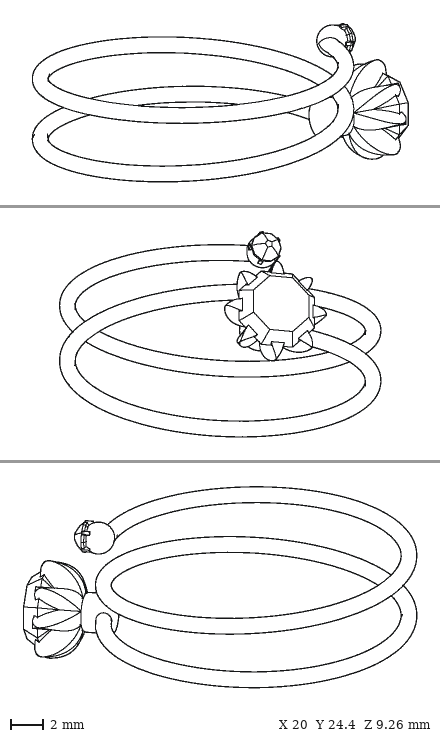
import cadquery as cq
import math


wire_diameter = 1.0
coil_radius = 9.5
coil_rise = 5.0
coil_turns = 2
quarter_count = 4 * coil_turns
rise_per_quarter = coil_rise / (quarter_count - 3)
sections_per_quarter = 6

post_diameter = 2.5
post_back = 8.9
post_front = 10.92
post_edge_fillet = 0.25

gem_sides = 8
table_across_flats = 3.56
girdle_across_flats = 4.86
table_height = coil_radius + wire_diameter / 2 + 4.4
girdle_height = 13.38
culet_height = 11.43

petal_count = 8
petal_root_width = 0.88
petal_reach = 3.24
petal_top = 13.62
petal_foot_radius = 1.2
petal_belly = (2.62, 11.67)
petal_widest_height = 13.0
petal_shoulder = (3.12, 13.45)
petal_crest_radius = 2.75
leaf_bulge = (2.0, 0.45)
leaf_taper = (2.6, 0.335)
leaf_tip_radius = petal_reach + 0.02

ball_radius = 1.0
ball_center = (0, coil_radius + wire_diameter / 2, coil_rise)

rose_fold = 5
rose_girdle_radius = 0.95
rose_girdle_bottom = 10.76
rose_girdle_top = 10.93
rose_top = 11.5
rose_table_radius = 0.24
rose_shoulder_radius = 0.68
rose_culet = 10.1

claw_outer_radius = 1.02
claw_depth = 0.3
claw_width = 0.22
claw_back = 10.4
claw_front = 10.9


def coil_height(quarters):
    """Height after a number of quarter turns: flat, easing in, even slope, easing out, flat."""
    if quarters > quarter_count / 2:
        return coil_rise - coil_height(quarter_count - quarters)
    if quarters <= 1:
        return 0.0
    if quarters <= 2:
        return rise_per_quarter * (quarters - 1) ** 2 / 2
    return rise_per_quarter * (quarters - 1.5)


def coil_point(quarters):
    """Point on the wire's centre line, starting at +Y and heading toward -X."""
    angle = math.pi / 2 * quarters
    x = -coil_radius * math.sin(angle)
    y = coil_radius * math.cos(angle)
    return cq.Vector(x, y, coil_height(quarters))


def coil_direction(quarters):
    """Direction of the wire's centre line at the same place."""
    angle = math.pi / 2 * quarters
    from_nearer_end = min(quarters, quarter_count - quarters)
    share_of_full_slope = min(max(from_nearer_end - 1, 0), 1)
    climb = share_of_full_slope * rise_per_quarter / (math.pi / 2 * coil_radius)
    return cq.Vector(-math.cos(angle), -math.sin(angle), climb)


def wire_section(quarters):
    """Round section of the wire, square to its centre line, with its seam on the outside."""
    center = coil_point(quarters)
    outward = (center.x, center.y, 0)
    plane = cq.Plane(origin=center, xDir=outward, normal=coil_direction(quarters))
    return cq.Workplane(plane).circle(wire_diameter / 2).wires().val()


def make_wire():
    section_count = quarter_count * sections_per_quarter + 1
    sections = [wire_section(i / sections_per_quarter) for i in range(section_count)]
    return cq.Workplane(cq.Solid.makeLoft(sections))


def make_post():
    return (
        cq.Workplane("XZ", origin=(0, post_back, 0))
        .circle(post_diameter / 2)
        .extrude(post_back - post_front)
        .faces("<Y or >Y")
        .edges()
        .fillet(post_edge_fillet)
    )


def polar_point(radius, angle_degrees, height):
    """Point at a height along Y, with the angle measured from +X toward +Z."""
    angle = math.radians(angle_degrees)
    return cq.Vector(radius * math.cos(angle), height, radius * math.sin(angle))


def ring_of_points(count, radius, height, first_angle=0.0):
    return [polar_point(radius, first_angle + 360 * i / count, height) for i in range(count)]


def faceted_solid(facets):
    faces = [cq.Face.makeFromWires(cq.Wire.makePolygon(corners, close=True)) for corners in facets]
    return cq.Workplane(cq.Solid.makeSolid(cq.Shell.makeShell(faces)))


def make_gem():
    half_side_angle = 180 / gem_sides
    flats_to_corners = 1 / math.cos(math.radians(half_side_angle))
    table_radius = table_across_flats / 2 * flats_to_corners
    girdle_radius = girdle_across_flats / 2 * flats_to_corners
    table = ring_of_points(gem_sides, table_radius, table_height, half_side_angle)
    girdle = ring_of_points(gem_sides, girdle_radius, girdle_height, half_side_angle)
    culet = cq.Vector(0, culet_height, 0)
    facets = [table]
    for i in range(gem_sides):
        following = (i + 1) % gem_sides
        facets.append([table[i], table[following], girdle[following], girdle[i]])
        facets.append([girdle[i], girdle[following], culet])
    return faceted_solid(facets)


def make_petal():
    """Petal toward +X: a curved side profile trimmed to a pointed leaf outline."""
    half_width = petal_root_width / 2
    root_radius = half_width / math.tan(math.pi / petal_count)
    body = (
        cq.Workplane("XY")
        .moveTo(0, post_front)
        .lineTo(petal_foot_radius, post_front)
        .threePointArc(petal_belly, (petal_reach, petal_widest_height))
        .threePointArc(petal_shoulder, (petal_crest_radius, petal_top))
        .lineTo(0, petal_top)
        .close()
        .extrude(leaf_bulge[1] + 0.1, both=True)
    )
    edge = [(root_radius, half_width), leaf_bulge, leaf_taper, (leaf_tip_radius, 0)]
    mirrored_edge = [(radius, -offset) for radius, offset in edge]
    leaf = (
        cq.Workplane("XZ", origin=(0, post_front, 0))
        .lineTo(*edge[0])
        .spline(edge[1:], includeCurrent=True)
        .spline(mirrored_edge[-2::-1], includeCurrent=True)
        .close()
        .extrude(post_front - petal_top)
    )
    return body.intersect(leaf)


def make_flower(gem):
    petal = make_petal()
    flower = petal
    for i in range(1, petal_count):
        flower = flower.union(petal.rotate((0, 0, 0), (0, 1, 0), 360 * i / petal_count))
    return flower.cut(gem)


def make_small_gem():
    """Rose cut: small table, five main facets, ten triangles above a ten-sided girdle."""
    girdle_sides = 2 * rose_fold
    half_fold = math.cos(math.pi / rose_fold)
    table_flat = rose_table_radius * half_fold
    main_slope = (rose_top - rose_girdle_top) / (rose_girdle_radius - table_flat)
    shoulder_height = rose_girdle_top + main_slope * (rose_girdle_radius - rose_shoulder_radius * half_fold)

    table = ring_of_points(rose_fold, rose_table_radius, rose_top)
    shoulder = ring_of_points(rose_fold, rose_shoulder_radius, shoulder_height)
    upper = ring_of_points(girdle_sides, rose_girdle_radius, rose_girdle_top)
    lower = ring_of_points(girdle_sides, rose_girdle_radius, rose_girdle_bottom)
    culet = cq.Vector(0, rose_culet, 0)

    facets = [table]
    for i in range(rose_fold):
        following = (i + 1) % rose_fold
        main_tip = upper[2 * i + 1]
        facets.append([table[i], table[following], shoulder[following], main_tip, shoulder[i]])
        facets.append([shoulder[i], upper[2 * i], main_tip])
        facets.append([shoulder[following], main_tip, upper[2 * following]])
    for i in range(girdle_sides):
        following = (i + 1) % girdle_sides
        facets.append([upper[i], upper[following], lower[following], lower[i]])
        facets.append([lower[i], lower[following], culet])
    return faceted_solid(facets).translate((0, 0, coil_rise))


def make_ball(small_gem):
    """Ball with five claws that hold the small gem, pocketed to fit it."""
    ball = cq.Workplane("XY").sphere(ball_radius).translate(ball_center)
    claw = cq.Workplane("XY").box(claw_depth, claw_front - claw_back, claw_width).translate(
        (claw_outer_radius - claw_depth / 2, (claw_front + claw_back) / 2, coil_rise)
    )
    axis_start = (0, 0, coil_rise)
    axis_end = (0, 1, coil_rise)
    for i in range(rose_fold):
        ball = ball.union(claw.rotate(axis_start, axis_end, 360 * i / rose_fold))
    return ball.cut(small_gem)


post = make_post()
gem = make_gem()
flower = make_flower(gem)
small_gem = make_small_gem()
ball = make_ball(small_gem)
ring_wire = make_wire().cut(post).cut(ball)

result = cq.Compound.makeCompound(
    [ring_wire.val(), post.val(), flower.val(), gem.val(), ball.val(), small_gem.val()]
)